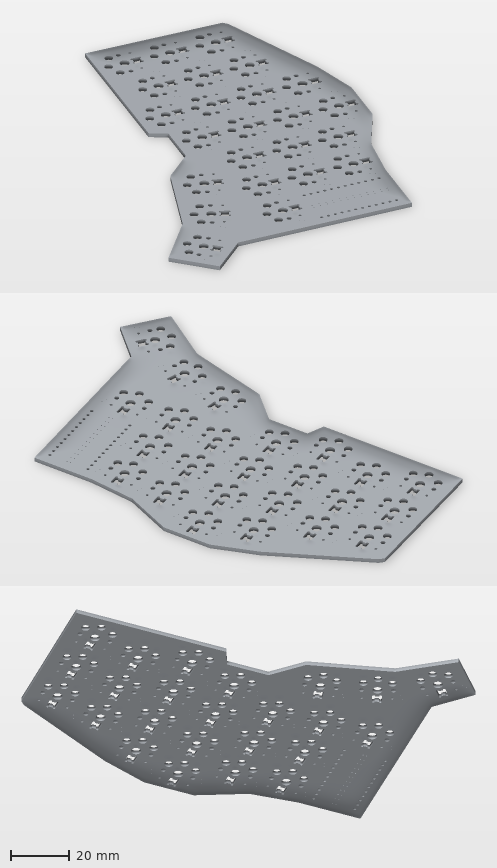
import cadquery as cq

THICKNESS = 1.6
WIDTH = 143.5
DEPTH = 100.5

BOTTOM_Y = 24.95
INNER_BOTTOM_Y = 31.1
SHOULDER_Y = 90.6
RIGHT_X = 131.95

OUTLINE = [
    (0, BOTTOM_Y),
    (55.55, BOTTOM_Y),
    (58.35, INNER_BOTTOM_Y),
    (73.7, INNER_BOTTOM_Y),
    (83.6, 21.1),
    (113.3, 13.05),
    (131.5, 0),
    (WIDTH, 14.05),
    (RIGHT_X, 25.8),
    (RIGHT_X, SHOULDER_Y),
    (108.95, SHOULDER_Y),
    (91.65, 92.6),
    (74.3, DEPTH),
    (55.9, DEPTH),
    (39.05, 94.95),
    (2.0, 77.6),
    (0.44, 76.05),
]

FIRST_COLUMN_X = 11.0
COLUMN_PITCH = 18.0
ROW_PITCH = 17.0
COLUMNS = [
    (69.0, 3),
    (74.0, 3),
    (86.0, 4),
    (91.95, 4),
    (84.0, 3),
    (82.0, 3),
    (48.0, 1),
]

THUMB_KEYS = [
    (92.5, 30.0, 12),
    (111.4, 24.55, 20),
    (129.5, 14.0, 40),
]

STEM_DIAMETER = 3.43
SIDE_PEG_DIAMETER = 1.7
SIDE_PEG_X = 5.5
CONTACT_DIAMETER = 3.0
SIDE_CONTACT_X = 5.0
SIDE_CONTACT_Y = -3.75
FRONT_CONTACT_Y = -5.95
PIN_DIAMETER = 0.99
PIN_X = 5.22
PIN_Y = 4.2

LIGHT_Y = 4.7
LIGHT_WIDTH = 3.4
LIGHT_HEIGHT = 2.8
EAR_WIDTH = 0.95
EAR_REACH = 1.97
EAR_RADIUS = 0.4

VIA_DIAMETER = 0.3
VIA_STEP = (-0.7, -1.75)
COLUMN_VIAS = [
    (9.4, 8.9),
    (9.35, 4.0),
    (9.4, 8.9),
    (9.35, 1.6),
    (9.4, 3.85),
    (8.9, 4.45),
    (8.8, 4.4),
]
THUMB_VIA = (8.85, 4.45)

CONTROLLER_X = 120.58
CONTROLLER_BACK_Y = 86.5
CONTROLLER_PINS = 12
CONTROLLER_PITCH = 2.54
CONTROLLER_ROW_SPACING = 6 * CONTROLLER_PITCH
CONTROLLER_PIN_DIAMETER = 1.1
JUMPER_SPACING = 1.32
JUMPER_DIAMETER = 0.4


def mirrored(x, y):
    return [(-x, y), (x, y)]


def drill(points, diameter):
    return cq.Workplane("XY").pushPoints(points).circle(diameter / 2).extrude(THICKNESS)


def box(width, height, centers):
    return cq.Workplane("XY").pushPoints(centers).rect(width, height).extrude(THICKNESS)


def light_window():
    ear_x = (LIGHT_WIDTH - EAR_WIDTH) / 2
    window = box(LIGHT_WIDTH, LIGHT_HEIGHT, [(0, LIGHT_Y)])
    ears = box(EAR_WIDTH, 2 * EAR_REACH, mirrored(ear_x, LIGHT_Y)).edges("|Z").fillet(EAR_RADIUS)
    return window.union(ears)


def switch_cutter():
    contacts = mirrored(SIDE_CONTACT_X, SIDE_CONTACT_Y) + [(0, FRONT_CONTACT_Y)]
    tools = [
        light_window(),
        drill([(0, 0)], STEM_DIAMETER),
        drill(mirrored(SIDE_PEG_X, 0), SIDE_PEG_DIAMETER),
        drill(contacts, CONTACT_DIAMETER),
        drill(mirrored(PIN_X, PIN_Y), PIN_DIAMETER),
    ]
    return [solid for tool in tools for solid in tool.vals()[0].Solids()]


def via_cutter(first_via):
    second_via = (first_via[0] + VIA_STEP[0], first_via[1] + VIA_STEP[1])
    return drill([first_via, second_via], VIA_DIAMETER).vals()[0].Solids()


def key_cutter(x, y, clockwise_turn, first_via):
    placement = cq.Location(cq.Vector(x, y, 0), cq.Vector(0, 0, 1), -clockwise_turn)
    return [solid.moved(placement) for solid in SWITCH + via_cutter(first_via)]


def grid_cutters():
    cutters = []
    for column, (back_y, key_count) in enumerate(COLUMNS):
        x = FIRST_COLUMN_X + column * COLUMN_PITCH
        for row in range(key_count):
            cutters += key_cutter(x, back_y - row * ROW_PITCH, 0, COLUMN_VIAS[column])
    return cutters


def thumb_cutters():
    cutters = []
    for x, y, clockwise_turn in THUMB_KEYS:
        cutters += key_cutter(x, y, clockwise_turn, THUMB_VIA)
    return cutters


def paired_rows(spacing, diameter):
    points = []
    for pin in range(CONTROLLER_PINS):
        y = CONTROLLER_BACK_Y - pin * CONTROLLER_PITCH
        points.append((CONTROLLER_X - spacing / 2, y))
        points.append((CONTROLLER_X + spacing / 2, y))
    return drill(points, diameter).vals()[0].Solids()


def controller_cutters():
    pins = paired_rows(CONTROLLER_ROW_SPACING, CONTROLLER_PIN_DIAMETER)
    jumpers = paired_rows(JUMPER_SPACING, JUMPER_DIAMETER)
    return pins + jumpers


SWITCH = switch_cutter()
board = cq.Workplane("XY").polyline(OUTLINE).close().extrude(THICKNESS)
cutters = grid_cutters() + thumb_cutters() + controller_cutters()
result = cq.Workplane("XY").newObject([board.val().cut(*cutters)])